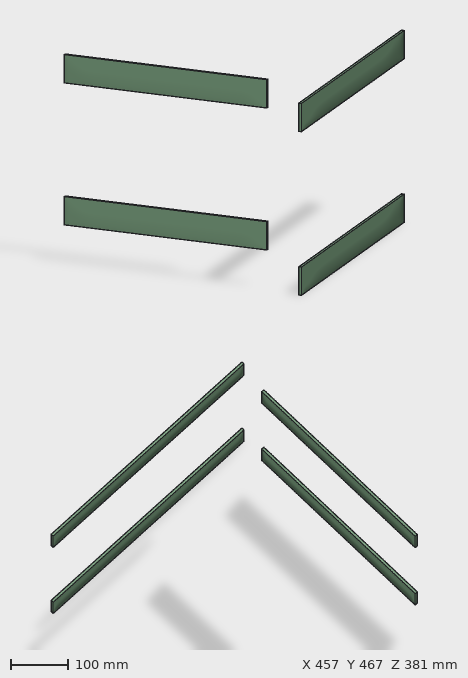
import cadquery as cq

plate_height = 52.0
plate_thickness = 5.0

overall_x = 457.0
overall_y = 467.0
overall_z = 381.0

long_length = overall_y
long_x = overall_x - plate_thickness
long_spacing = 300.0
long_levels = [0.0, long_spacing]

short_length = 384.0
short_y = 18.0
short_spacing = 260.0
short_top_level = overall_z - plate_height
short_levels = [short_top_level - short_spacing, short_top_level]


def make_long_plate(level):
    """Upright plate along Y with its bottom edge at the given Z level."""
    plate = cq.Workplane("XY").box(plate_thickness, long_length, plate_height, centered=False)
    return plate.translate((long_x, 0, level))


def make_short_plate(level):
    """Upright plate along X with its bottom edge at the given Z level."""
    plate = cq.Workplane("XY").box(short_length, plate_thickness, plate_height, centered=False)
    return plate.translate((0, short_y, level))


long_plates = [make_long_plate(level).val() for level in long_levels]
short_plates = [make_short_plate(level).val() for level in short_levels]

result = cq.Compound.makeCompound([*long_plates, *short_plates])